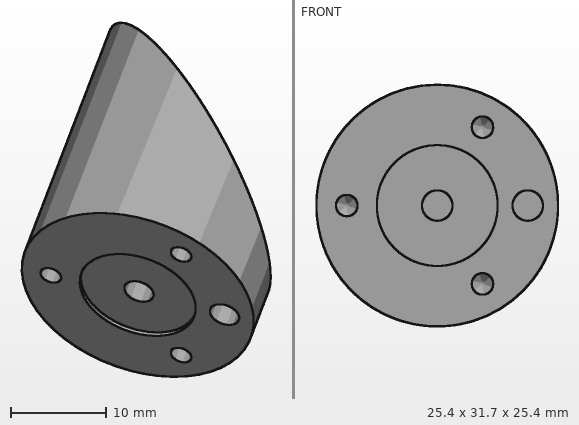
import cadquery as cq
import math

BODY_DIAMETER = 25.4
LONG_SIDE = 31.75
SLANT_ANGLE = 45.0
BODY_RADIUS = BODY_DIAMETER / 2
SHORT_SIDE = LONG_SIDE - BODY_DIAMETER * math.tan(math.radians(SLANT_ANGLE))

RECESS_DIAMETER = 12.7
RECESS_DEPTH = 0.5

DOWEL_DIAMETER = 3.2
DOWEL_DEPTH = 3.2

HOLE_CIRCLE_RADIUS = 9.5
DRILL_DIAMETER = 2.26
DRILL_DEPTH = 5.0
DRILL_POINT_ANGLE = 118.0
DRILL_DIRECTIONS = (60.0, 180.0, 300.0)


def slanted_body():
    """Bar whose length falls from LONG_SIDE at -X to SHORT_SIDE at +X."""
    bar = cylinder(0, 0, 0, BODY_DIAMETER, LONG_SIDE)
    keep = (
        cq.Workplane("XY")
        .moveTo(-BODY_RADIUS, 0)
        .lineTo(BODY_RADIUS, 0)
        .lineTo(BODY_RADIUS, SHORT_SIDE)
        .lineTo(-BODY_RADIUS, LONG_SIDE)
        .close()
        .extrude(BODY_RADIUS, both=True)
    )
    return bar.intersect(keep)


def cylinder(x, y, z, diameter, length):
    """Cylinder along +Y whose near end is centred on (x, y, z)."""
    return cq.Workplane(
        cq.Solid.makeCylinder(diameter / 2, length, cq.Vector(x, y, z), cq.Vector(0, 1, 0))
    )


def drilled_hole(x, z):
    """Drilled hole from the mounting face, ending in a drill-point cone."""
    radius = DRILL_DIAMETER / 2
    tip_length = radius / math.tan(math.radians(DRILL_POINT_ANGLE / 2))
    tip = cq.Solid.makeCone(
        radius, 0, tip_length, cq.Vector(x, DRILL_DEPTH, z), cq.Vector(0, 1, 0)
    )
    return cylinder(x, 0, z, DRILL_DIAMETER, DRILL_DEPTH).union(cq.Workplane(tip))


result = slanted_body()
result = result.cut(cylinder(0, 0, 0, RECESS_DIAMETER, RECESS_DEPTH))
result = result.cut(cylinder(0, 0, 0, DOWEL_DIAMETER, RECESS_DEPTH + DOWEL_DEPTH))
result = result.cut(cylinder(HOLE_CIRCLE_RADIUS, 0, 0, DOWEL_DIAMETER, DOWEL_DEPTH))

for direction in DRILL_DIRECTIONS:
    angle = math.radians(direction)
    hole_x = HOLE_CIRCLE_RADIUS * math.cos(angle)
    hole_z = HOLE_CIRCLE_RADIUS * math.sin(angle)
    result = result.cut(drilled_hole(hole_x, hole_z))